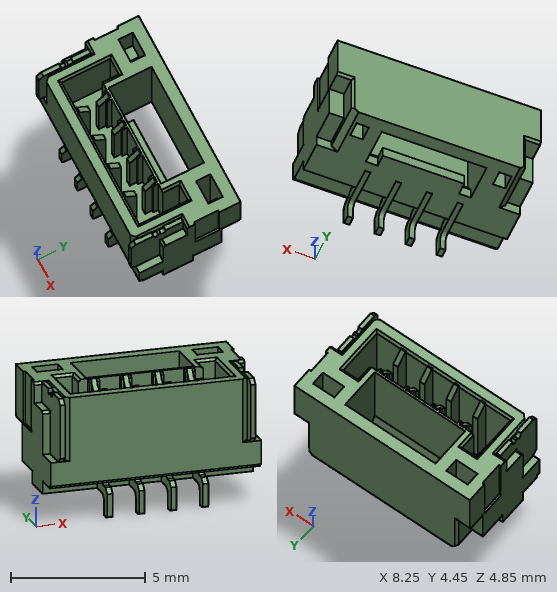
import cadquery as cq


width = 8.25
depth = 4.25
height = 4.05
half_width = width / 2
edge_flare = 0.1
overcut = 0.5

pocket_half_width = 3.14
pocket_front = 0.5
pocket_back = 1.85
pocket_floor = 1.0
wing_half_gap = 2.45
wing_back = 2.55

window_half_width = 2.125
contact_wall_thickness = 0.1
window_front = pocket_back + contact_wall_thickness
window_back = 3.75
wall_slope_foot = 2.25
wall_slope_top = 1.02
wall_slope_bottom = 0.5
tab_half_width = 1.65
tab_length = 0.5

side_hole_outer = 3.64
side_hole_step = 3.14
side_hole_inner = 2.64
side_hole_front = 3.15
side_hole_floor = 2.55

key_front = 2.35
key_back = 3.35
key_bottom = 2.0
key_depth = 0.09
foot_front = 1.0
foot_back = 2.25
foot_height = 0.5
lip_height = 0.62
lip_depth = 0.13
corner_depth = 0.6
corner_front = 3.45
corner_top = 2.0
corner_bottom_chamfer = 0.25

nail_inner = 3.64
nail_thickness = 0.19
nail_back = 2.0
nail_step_y = 1.0
nail_step_z = 3.25
nail_bottom = 1.55
nail_reach = 0.2
front_corner = 0.25
groove_radius = 0.1
groove_pitch = 0.3
groove_centre = 1.0

contact_count = 4
contact_pitch = 1.25
contact_thickness = 0.22
contact_tip_drop = 0.5
arm_width = 0.5
arm_tip = 0.05
spine_bottom = 0.65
spine_top = 0.85
leg_front = -0.2
leg_back = 0.2
leg_top = 0.35
leg_bottom = -0.8
leg_chamfer = 0.2
leg_bend_radius = 0.27
leg_toe_radius = 0.12
leg_ramp_start = 0.45
leg_ramp_end = 0.25
rib_width = 0.4
rib_front = 1.65
rib_chamfer = 0.1

contact_xs = [(i - (contact_count - 1) / 2) * contact_pitch for i in range(contact_count)]


def box(x0, x1, y0, y1, z0, z1):
    """Box between two opposite corners."""
    return cq.Workplane("XY").box(x1 - x0, y1 - y0, z1 - z0, centered=False).translate((x0, y0, z0))


def side_prism(points, x0, x1):
    """Outline given as (y, z) points, extruded from x0 to x1."""
    return cq.Workplane("YZ", origin=(x0, 0, 0)).polyline(points).close().extrude(x1 - x0)


def taper(lower, z0, upper, z1):
    """Solid with straight sides between two (x, y) outlines at different heights."""
    sketch = cq.Workplane("XY", origin=(0, 0, z0)).polyline(lower).close()
    return sketch.workplane(offset=z1 - z0).polyline(upper).close().loft(ruled=True)


def both_ends(shape):
    """A +X end feature together with its mirror image at the -X end."""
    return shape.union(shape.mirror("YZ"))


def pocket_outline(flare):
    """U-shaped pocket outline; every side but the contact wall moves out by flare."""
    outer = pocket_half_width + flare
    inner = wing_half_gap - flare
    front = pocket_front - flare
    back = wing_back + flare
    return [
        (-outer, front), (outer, front), (outer, back), (inner, back),
        (inner, pocket_back), (-inner, pocket_back), (-inner, back), (-outer, back),
    ]


def mating_pocket():
    well = cq.Workplane("XY", origin=(0, 0, pocket_floor)).polyline(pocket_outline(0)).close()
    well = well.extrude(height - pocket_floor)
    return well.union(taper(pocket_outline(0), height - edge_flare, pocket_outline(edge_flare), height))


def latch_window():
    opening = side_prism(
        [
            (window_back, 0), (window_back, height), (window_front, height),
            (window_front, wall_slope_top), (wall_slope_foot, wall_slope_bottom), (wall_slope_foot, 0),
        ],
        -window_half_width, window_half_width,
    )
    tab = box(-tab_half_width, tab_half_width, wall_slope_foot, wall_slope_foot + tab_length,
              0, wall_slope_bottom)
    return opening.cut(tab)


def side_hole():
    upper = box(side_hole_inner, side_hole_outer, side_hole_front, window_back, side_hole_floor, height)
    lower = box(side_hole_inner, side_hole_step, side_hole_front, window_back, 0, side_hole_floor)
    return upper.union(lower)


def key_recess():
    return box(half_width - key_depth, half_width, key_front, key_back, key_bottom, height)


def back_corner():
    """L-shaped cut-away with a flared back opening and a bevelled bottom edge."""
    face = half_width - corner_depth
    outside = half_width + overcut
    cut = box(face, outside, foot_back, depth, -overcut, foot_height)
    cut = cut.union(box(face, outside, corner_front, depth, 0, corner_top))
    back_plane = cq.Workplane("XZ", origin=(0, depth - edge_flare, 0))
    lower = [(face, -overcut), (outside, -overcut), (outside, corner_top), (face, corner_top)]
    flared_face = face - edge_flare
    flared_top = corner_top + edge_flare
    upper = [(flared_face, -overcut), (outside, -overcut), (outside, flared_top), (flared_face, flared_top)]
    flare = back_plane.polyline(lower).close().workplane(offset=-edge_flare).polyline(upper).close()
    cut = cut.union(flare.loft(ruled=True))
    bevel = cq.Workplane("XZ", origin=(0, depth, 0)).polyline(
        [(face, 0), (face, corner_bottom_chamfer), (face - corner_bottom_chamfer, 0)]
    ).close().extrude(depth - foot_back)
    return cut.union(bevel)


def nail_recess():
    outside = half_width + overcut
    cut = box(nail_inner, outside, -overcut, nail_step_y, nail_bottom, height)
    cut = cut.union(box(nail_inner, outside, -overcut, nail_back, nail_step_z, height))
    ledge_bevel = side_prism(
        [
            (nail_step_y, nail_step_z), (nail_step_y + edge_flare, nail_step_z),
            (nail_step_y, nail_step_z - edge_flare),
        ],
        nail_inner + nail_thickness, outside,
    )
    corner_bevel = cq.Workplane("XY", origin=(0, 0, nail_bottom)).polyline(
        [(nail_inner, 0), (nail_inner, front_corner), (nail_inner - front_corner, 0)]
    ).close().extrude(height - nail_bottom)
    flared_inner = nail_inner - edge_flare
    flared_back = nail_back + edge_flare
    flare = taper(
        [(nail_inner, 0), (outside, 0), (outside, nail_back), (nail_inner, nail_back)],
        height - edge_flare,
        [(flared_inner, 0), (outside, 0), (outside, flared_back), (flared_inner, flared_back)],
        height,
    )
    return cut.union(ledge_bevel).union(corner_bevel).union(flare)


def contact_rib(x):
    """Pair of cheeks on the contact wall, with an open slot for the contact between them."""
    rib = side_prism(
        [
            (pocket_back, pocket_floor), (pocket_back, height), (rib_front + rib_chamfer, height),
            (rib_front, height - rib_chamfer), (rib_front, pocket_floor),
        ],
        x - rib_width / 2, x + rib_width / 2,
    )
    slot = box(x - contact_thickness / 2, x + contact_thickness / 2, rib_front, pocket_back,
               pocket_floor, height)
    return rib.cut(slot)


def make_contact(x):
    """Fork-shaped blade whose leg leaves under the front of the housing."""
    front_arm_inner = pocket_front + arm_width
    back_arm_inner = pocket_back - arm_width
    shoulder = height - contact_tip_drop
    outline = (
        cq.Workplane("YZ", origin=(x - contact_thickness / 2, 0, 0))
        .moveTo(pocket_back, 0)
        .lineTo(pocket_back, height)
        .lineTo(pocket_back - arm_tip, height)
        .lineTo(back_arm_inner, shoulder)
        .lineTo(back_arm_inner, spine_top)
        .lineTo(front_arm_inner, spine_top)
        .lineTo(front_arm_inner, shoulder)
        .lineTo(pocket_front + arm_tip, height)
        .lineTo(pocket_front, height)
        .lineTo(pocket_front, spine_bottom)
        .lineTo(foot_front, spine_bottom)
        .lineTo(foot_front, foot_height)
        .lineTo(leg_ramp_start, foot_height)
        .lineTo(leg_ramp_end, leg_top)
        .lineTo(leg_front + leg_chamfer, leg_top)
        .lineTo(leg_front, leg_top - leg_chamfer)
        .lineTo(leg_front, leg_bottom + leg_toe_radius)
        .radiusArc((leg_front + leg_toe_radius, leg_bottom), -leg_toe_radius)
        .lineTo(leg_back, leg_bottom)
        .lineTo(leg_back, -leg_bend_radius)
        .radiusArc((leg_back + leg_bend_radius, 0), leg_bend_radius)
        .close()
    )
    return outline.extrude(contact_thickness)


def make_nail():
    """L-shaped plate at the +X end, filling its recess and standing out of the front."""
    plate = side_prism(
        [
            (nail_back, height), (nail_back, nail_step_z),
            (nail_step_y, nail_step_z), (nail_step_y, nail_bottom),
            (0, nail_bottom), (-nail_reach, nail_bottom + nail_reach),
            (-nail_reach, height - nail_reach), (0, height),
        ],
        nail_inner, nail_inner + nail_thickness,
    )
    groove_z = height - groove_radius
    half_span = groove_pitch / 2 + groove_radius
    plate = plate.cut(box(nail_inner, half_width, groove_centre - half_span, groove_centre + half_span,
                          groove_z, height))
    for side in (-1, 1):
        groove = cq.Workplane("YZ", origin=(nail_inner, 0, 0))
        groove = groove.center(groove_centre + side * groove_pitch / 2, groove_z).circle(groove_radius)
        plate = plate.cut(groove.extrude(nail_thickness))
    return plate


def make_housing(contacts):
    body = side_prism(
        [
            (foot_front, 0), (depth, 0), (depth, height), (0, height), (0, lip_height),
            (lip_depth, lip_height), (lip_depth, foot_height), (foot_front, foot_height),
        ],
        -half_width, half_width,
    )
    body = body.cut(mating_pocket()).cut(latch_window())
    for end_feature in (side_hole(), key_recess(), back_corner(), nail_recess()):
        body = body.cut(both_ends(end_feature))
    for x in contact_xs:
        body = body.union(contact_rib(x))
    for contact in contacts:
        body = body.cut(contact)
    return body


contacts = [make_contact(x) for x in contact_xs]
right_nail = make_nail()
left_nail = right_nail.mirror("YZ")
housing = make_housing(contacts)

result = cq.Compound.makeCompound(
    [
        housing.solids().val(),
        *[contact.val() for contact in contacts],
        left_nail.solids().val(),
        right_nail.solids().val(),
    ]
)